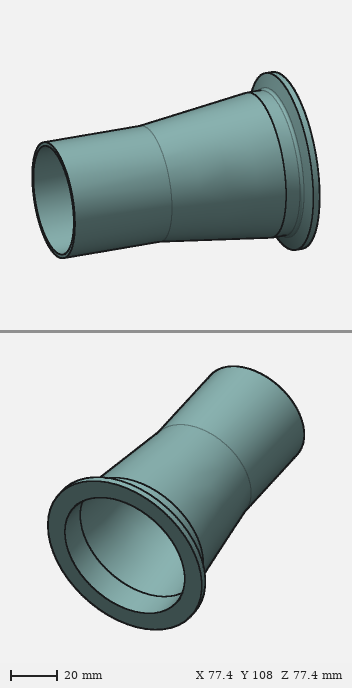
import cadquery as cq

total_length = 108.0
rim_thickness = 3.0
cone_end_depth = 5.1
fillet_end_depth = 6.6
ferrule_length = 12.9
taper_end_depth = 63.3

flange_diameter = 77.4
cone_end_diameter = 65.5
collar_diameter = 63.5
tube_diameter = 50.8
wall = 1.6

flange_radius = flange_diameter / 2
cone_end_radius = cone_end_diameter / 2
collar_radius = collar_diameter / 2
tube_radius = tube_diameter / 2
collar_bore_radius = collar_radius - wall
tube_bore_radius = tube_radius - wall

rim_y = total_length - rim_thickness
cone_end_y = total_length - cone_end_depth
fillet_end_y = total_length - fillet_end_depth
joint_y = total_length - ferrule_length
taper_end_y = total_length - taper_end_depth


def revolve_about_y(profile):
    """Turn a closed (radius, y) profile into a solid of revolution about Y."""
    return profile.revolve(360, (0, 0, 0), (0, 1, 0))


def make_ferrule():
    """Clamp ferrule: flat rim, conical back, concave root fillet and collar."""
    profile = (
        cq.Workplane("XY")
        .moveTo(collar_bore_radius, total_length)
        .lineTo(flange_radius, total_length)
        .lineTo(flange_radius, rim_y)
        .lineTo(cone_end_radius, cone_end_y)
        .tangentArcPoint((collar_radius, fillet_end_y), relative=False)
        .lineTo(collar_radius, joint_y)
        .lineTo(collar_bore_radius, joint_y)
        .close()
    )
    return revolve_about_y(profile)


def make_reducer():
    """Thin-walled reducer: a taper from the collar down to a straight tube."""
    profile = (
        cq.Workplane("XY")
        .moveTo(collar_bore_radius, joint_y)
        .lineTo(collar_radius, joint_y)
        .lineTo(tube_radius, taper_end_y)
        .lineTo(tube_radius, 0)
        .lineTo(tube_bore_radius, 0)
        .lineTo(tube_bore_radius, taper_end_y)
        .close()
    )
    return revolve_about_y(profile)


ferrule = make_ferrule()
reducer = make_reducer()

result = cq.Compound.makeCompound([ferrule.val(), reducer.val()])